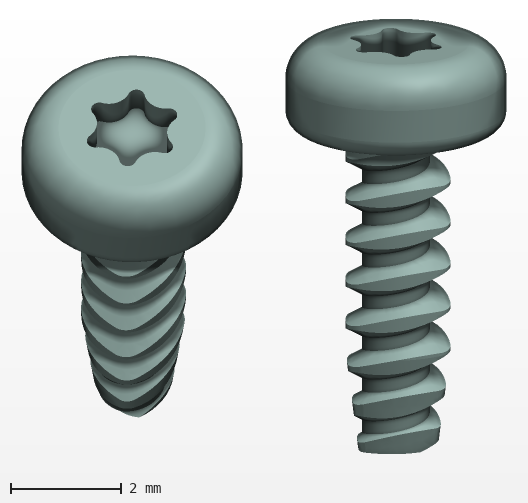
import math

import cadquery as cq


head_diameter = 4.0
head_height = 1.6
head_top_radius = 0.67
head_bottom_radius = 0.33

recess_tip_diameter = 1.76
recess_waist_diameter = 1.28
recess_lobe_radius = 0.15
recess_depth = 0.55
recess_lobes = 6

shank_length = 6.0
core_radius = 0.615

thread_pitch = 0.79
thread_flank_angle = 30.0
thread_crest_width = 0.065
thread_trim_allowance = 0.016
thread_depth_below_head = 0.445
envelope_width = 1.9
envelope_lobe_offset = 0.6
envelope_lobes = 3
taper_length = 1.84
taper_angle = 7.1

first_lobe_angle = 90
overlap = 0.1

envelope_lobe_radius = (envelope_width - math.sqrt(3) * envelope_lobe_offset) / 2
envelope_tip_radius = envelope_lobe_offset + envelope_lobe_radius
envelope_side_distance = envelope_width - envelope_tip_radius


def polar(radius, angle):
    """Point at the given radius and angle in degrees."""
    return (radius * math.cos(math.radians(angle)), radius * math.sin(math.radians(angle)))


def polar_from(centre, radius, angle):
    """Point at the given radius and angle in degrees around a centre."""
    x, y = polar(radius, angle)
    return (centre[0] + x, centre[1] + y)


def make_head():
    """Pan head with a large rounding above and a small one below."""
    head = cq.Workplane("XY").circle(head_diameter / 2).extrude(head_height)
    head = head.faces(">Z").edges().fillet(head_top_radius)
    return head.faces("<Z").edges().fillet(head_bottom_radius)


def make_recess():
    """Six-lobe pocket: convex lobe arcs joined by tangent concave arcs."""
    tip = recess_tip_diameter / 2
    waist = recess_waist_diameter / 2
    lobe_centre = tip - recess_lobe_radius
    half_step = 180 / recess_lobes
    projection = 2 * lobe_centre * math.cos(math.radians(half_step))
    waist_radius = (lobe_centre**2 + waist**2 - projection * waist - recess_lobe_radius**2) / (
        projection + 2 * recess_lobe_radius - 2 * waist
    )
    waist_centre = waist + waist_radius
    lobe_share = recess_lobe_radius / (recess_lobe_radius + waist_radius)

    def tangent_point(lobe_angle, side):
        x0, y0 = polar(lobe_centre, lobe_angle)
        x1, y1 = polar(waist_centre, lobe_angle + side * half_step)
        return (x0 + (x1 - x0) * lobe_share, y0 + (y1 - y0) * lobe_share)

    outline = cq.Workplane("XY", origin=(0, 0, head_height - recess_depth))
    outline = outline.moveTo(*tangent_point(first_lobe_angle, -1))
    for i in range(recess_lobes):
        angle = first_lobe_angle + i * 2 * half_step
        outline = outline.threePointArc(polar(tip, angle), tangent_point(angle, 1))
        outline = outline.threePointArc(
            polar(waist, angle + half_step), tangent_point(angle + 2 * half_step, -1)
        )
    return outline.close().extrude(recess_depth + overlap)


def envelope_outline(height):
    """Rounded three-lobed outline of constant width with one lobe toward +Y."""
    half_step = 180 / envelope_lobes
    half_lobe = half_step / 2

    def lobe_end(angle, side):
        centre = polar(envelope_lobe_offset, angle)
        return polar_from(centre, envelope_lobe_radius, angle + side * half_lobe)

    outline = cq.Workplane("XY", origin=(0, 0, height))
    outline = outline.moveTo(*lobe_end(first_lobe_angle, -1))
    for i in range(envelope_lobes):
        angle = first_lobe_angle + i * 2 * half_step
        outline = outline.threePointArc(polar(envelope_tip_radius, angle), lobe_end(angle, 1))
        outline = outline.threePointArc(
            polar(envelope_side_distance, angle + half_step), lobe_end(angle + 2 * half_step, -1)
        )
    return outline.close()


def make_envelope():
    """Three-lobed prism that narrows toward the free end of the screw."""
    taper_start = taper_length - shank_length
    straight = envelope_outline(taper_start).extrude(overlap - taper_start)
    tapered = envelope_outline(taper_start).extrude(-taper_length, taper=taper_angle)
    return straight.union(tapered)


def make_ridge():
    """Right-handed helical ridge, longer than the shank at both ends."""
    spare_turns = 1
    turns = math.ceil(shank_length / thread_pitch) + 2 * spare_turns
    top = thread_pitch * spare_turns - thread_depth_below_head
    bottom = top - turns * thread_pitch

    slope = math.tan(math.radians(thread_flank_angle))
    inner = core_radius - overlap
    outer = envelope_tip_radius + thread_trim_allowance
    inner_half = thread_crest_width / 2 + (envelope_tip_radius - inner) * slope
    outer_half = thread_crest_width / 2 + (envelope_tip_radius - outer) * slope

    helix = cq.Wire.makeHelix(thread_pitch, turns * thread_pitch, core_radius)
    profile = cq.Workplane("XZ").polyline(
        [(inner, -inner_half), (outer, -outer_half), (outer, outer_half), (inner, inner_half)]
    ).close()
    ridge = profile.sweep(cq.Workplane(helix), isFrenet=True)
    return ridge.rotate((0, 0, 0), (0, 0, 1), first_lobe_angle).translate((0, 0, bottom))


def make_shank():
    """Round core carrying the trimmed thread."""
    core = cq.Workplane("XY", origin=(0, 0, -shank_length)).circle(core_radius)
    core = core.extrude(shank_length + overlap)
    thread = make_ridge().intersect(make_envelope())
    return core.union(thread)


result = make_head().union(make_shank()).cut(make_recess())